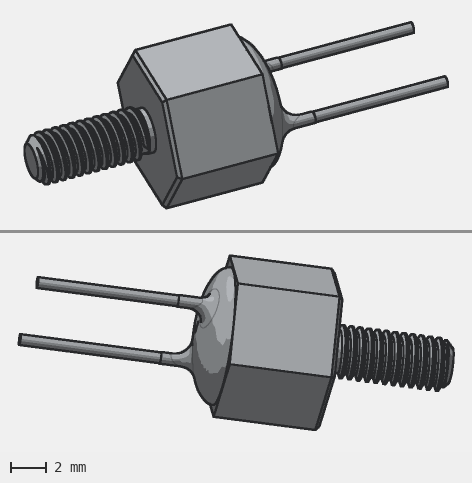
import cadquery as cq
import math

total_length = 24.0
stud_length = 7.0
body_length = 6.0

across_flats = 8.0
across_corners = across_flats / math.cos(math.pi / 6)
body_chamfer = 0.22

dome_radius = 3.9
dome_height = 1.5
lead_radius = 0.3
lead_spacing = 5.0
sleeve_radius = 0.34
sleeve_length = 3.0
lead_fillet = 1.0

thread_radius = 1.5
root_radius = 1.22
neck_radius = 1.3
neck_length = 0.35
tip_radius = 1.0
thread_clearance = 0.53
thread_turns = 13
thread_length = stud_length - thread_clearance
pitch = thread_length / thread_turns
ridge_base_width = 0.43
ridge_crest_width = 0.1
core_embed = 0.95
ridge_overlap = 0.07

body_front = stud_length
body_back = body_front + body_length


def make_body_and_neck():
    body = cq.Workplane("XY").workplane(offset=body_front).polygon(6, across_corners).extrude(body_length)
    body = body.faces("<Z").chamfer(body_chamfer)
    neck = cq.Workplane("XY").workplane(offset=body_front).circle(neck_radius).extrude(-neck_length)
    return body.union(neck)


def make_dome():
    return (
        cq.Workplane("YZ")
        .moveTo(0, body_back)
        .lineTo(dome_radius, body_back)
        .ellipseArc(dome_radius, dome_height, 0, 90, startAtCurrent=True)
        .close()
        .revolve(360, (0, body_back), (0, body_back + 0.25))
    )


def make_leads_and_dome():
    seal = make_dome()
    lead_places = [(-lead_spacing / 2, 0), (lead_spacing / 2, 0)]
    for radius, length in [(sleeve_radius, sleeve_length), (lead_radius, total_length - body_back)]:
        base = cq.Workplane("XY").workplane(offset=body_back)
        rods = base.pushPoints(lead_places).circle(radius).extrude(length)
        seal = seal.union(rods)
    sleeve_roots = cq.selectors.BoxSelector(
        (-dome_radius, -dome_radius, body_back + dome_height / 4),
        (dome_radius, dome_radius, body_back + dome_height),
    )
    return seal.edges(sleeve_roots).edges("not |Z").fillet(lead_fillet)


def make_thread_ridge():
    """Right-handed helical ridge running from the stud tip to the neck."""
    inner_radius = root_radius - ridge_overlap
    path = cq.Workplane(cq.Wire.makeHelix(pitch, thread_length, root_radius))
    return (
        cq.Workplane("XZ")
        .moveTo(inner_radius, -ridge_base_width / 2)
        .lineTo(thread_radius, -ridge_crest_width / 2)
        .lineTo(thread_radius, ridge_crest_width / 2)
        .lineTo(inner_radius, ridge_base_width / 2)
        .close()
        .sweep(path, isFrenet=True)
    )


def make_stud():
    core = cq.Workplane("XY").circle(root_radius).extrude(stud_length + core_embed)
    core = core.rotate((0, 0, 0), (0, 0, 1), 90)
    envelope = (
        cq.Workplane("XY")
        .circle(thread_radius + ridge_overlap)
        .extrude(stud_length + core_embed)
        .faces("<Z")
        .chamfer(thread_radius + ridge_overlap - tip_radius)
        .rotate((0, 0, 0), (0, 0, 1), 90)
    )
    ridge = make_thread_ridge().intersect(envelope)
    return core.intersect(envelope).union(ridge)


part = make_body_and_neck().union(make_leads_and_dome()).union(make_stud())
centered = part.translate((0, 0, -total_length / 2))
result = centered.rotate((0, 0, 0), (1, 0, 0), -90)